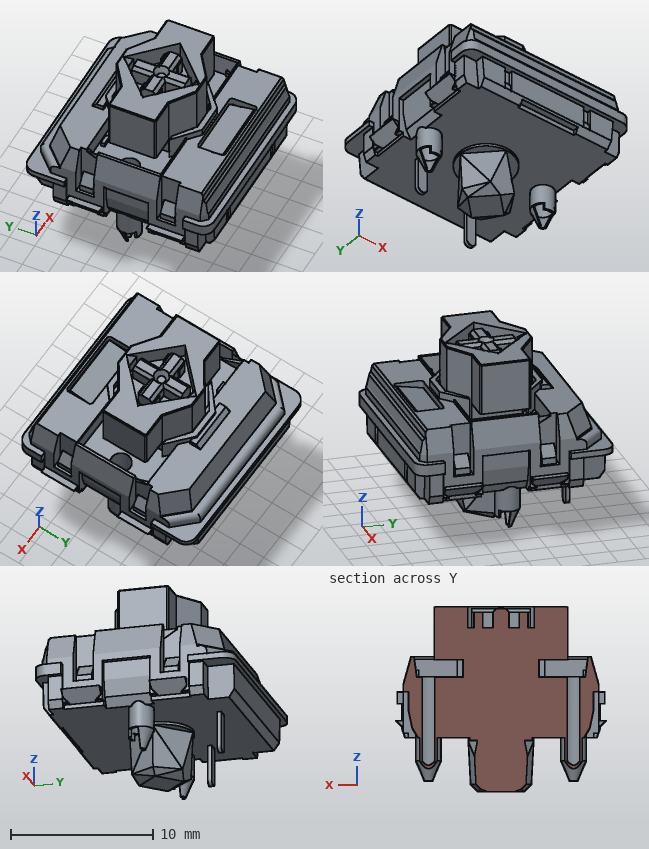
import cadquery as cq
import math


BASE_HALF_X = 6.96
BASE_FRONT_Y = -6.28
BASE_BACK_Y = 5.05
BASE_CHAMFER = 0.62
BASE_FOOT_INSET = 0.22
BASE_TOP_Z = 2.82
PLATE_HALF_X = 5.9
PLATE_FOOT_HALF_X = 5.66
PLATE_HALF_Y = 6.98
PLATE_FOOT_HALF_Y = 6.58
PLATE_BEND_Z = 0.58
GROOVE_X = 3.52
GROOVE_WIDTH = 0.6
GROOVE_DEPTH = 0.3
GROOVE_STEP_DEPTH = 0.15
GROOVE_FLOOR_Z = 0.58
GROOVE_STEP_Z = 1.2
NOTCH_X = (-2.17, 2.81)
NOTCH_HEIGHT = 0.41
NOTCH_Y = -6.38

FLANGE_HALF = 7.3
FLANGE_RADIUS = 0.89
FLANGE_Z = 2.38
FLANGE_FRONT_TOP = 3.22
FLANGE_BACK_TOP = BASE_TOP_Z

SIDE_HALF_X = 6.87
SIDE_FLAT_Y = (-5.25, 4.02)
RECESS_Y = (-2.34, 1.14)
RECESS_TOP_Z = 3.22
RECESS_WALL = [(5.84, 0), (6.25, 0.7), (6.5, 1.9), (6.5, RECESS_TOP_Z)]
CATCH_Y = ((1.24, 3.85), (-5.22, -2.44))
CATCH_REACH = 7.39
CATCH_ROOT = 6.5
CATCH_TOP = 1.2
CATCH_CORNER_Z = 0.74
CATCH_BOTTOM = 0.31
CATCH_CORNER = 0.41

COVER_HALF_X = 6.87
COVER_HALF_Y = 6.86
COVER_SHOULDER_Z = 3.75
COVER_TOP_Z = 5.51
COVER_TOP_HALF_X = 6.35
COVER_FRONT_CHAMFER = 0.45
COVER_BACK_CHAMFER = 1.58
COVER_SLOPES = [
    (-6.86, 3.75),
    (-6.78, 3.92),
    (-6.64, 4.69),
    (-6.49, 4.89),
    (-6.41, 5.32),
    (-6.27, COVER_TOP_Z),
    (5.59, COVER_TOP_Z),
    (5.81, 5.32),
    (6.13, 3.75),
]
BACK_STEP_Z = 3.62
BACK_STEP_ROUND = 0.35
RIM_TOP_Z = 5.7
RIM_Y = (-3.02, 2.88)
RIM_SIDE_X = 6.33

BASIN_TOP_HALF_X = 6.1
BASIN_FLOOR_HALF_X = 5.91
BASIN_Y = (-2.95, 2.88)
BASIN_FLOOR = 4.29
RAMP_INNER_X = 5.76
RAMP_SLOPE = 0.6
RAMP_Y = ((1.15, 2.88), (-2.95, -2.19))

SLOT_Y = ((1.9, 3.31), (-4.48, -3.02))
SLOT_X = 6.06
SLOT_BOTTOM = 1.9
NUB_TOP = 3.22
NUB_BOTTOM = 2.38
NUB_REACH = 0.59
NUB_MARGIN = 0.18

WINDOW_X = (-2.36, 2.97)
WINDOW_Y = (-6.07, -3.95)
WINDOW_DEPTH = 0.59
WINDOW_RADIUS = 0.22
PAD_GAP = 0.19
PAD_FRONT_Z = 5.38
PAD_BACK_Z = 5.03

STEM_TOP = 9.21
STEM_BOTTOM = 5.47
STEM_HALF_X = 4.7
STEM_HALF_Y = 1.86
STEM_BULGE_ROOT_X = 2.66
STEM_BULGE_FLAT_X = 0.81
STEM_BULGE_HALF_Y = 3.15
STEM_EDGE = 0.12
STEM_TOP_EDGE = 0.07
DIAMOND_HALF = 2.95
DIAMOND_DEPTH = 1.48
DIAMOND_RAMP = 0.52
DIAMOND_RAMP_DROP = 0.45
CROSS_LENGTH = 4.08
CROSS_WIDTH = 1.15
CROSS_DROP = 0.13
CROSS_CHAMFER = 0.25
LOBE_LENGTH = 0.64
LOBE_WIDTH = 1.39
LOBE_INSET = 0.13
DIMPLE_RADIUS = 0.56
DIMPLE_FLOOR_RADIUS = 0.3
DIMPLE_DEPTH = 0.45

GUIDE_END_Y = 2.15
GUIDE_OUTER_X = 3.09
GUIDE_INNER_X = 2.69
GUIDE_OUTER_BEND = (1.18, 3.78)
GUIDE_INNER_BEND = (1.06, 3.34)
GUIDE_TOP = 6.03
BUMP_X = (-2.04, 1.68)
BUMP_Y = (3.55, 4.43)
BUMP_SLOPE_Y = 4.08
BUMP_TOP = 5.84

POST_NECK = (4, 2.3, -0.2)
POST_WAIST = (6, 2.15, -3.28)
POST_END = (4, 1.63, -3.8)
POST_COLLAR_RADIUS = 2.3

PIN_X = 5.1
PIN_RADIUS = 0.9
PIN_WALL = 0.13
PIN_TAPER_Z = -1.63
PIN_NECK_Z = -2.17
PIN_NECK_RADIUS = 0.65
PIN_TIP_Z = -3.05
PIN_TIP_RADIUS = 0.3
PIN_LEAF_WIDTH = 0.89

CONTACT_WIDTH = 0.83
CONTACT_THICKNESS = 0.3
CONTACT_BOTTOM = -2.9
CONTACT_CENTRES = ((-3.78, 2.54), (2.6, 5.08))
CONTACT_END_TOP = 4.58


def block(x, y, z):
    """Box from (low, high) pairs along each axis."""
    size = (x[1] - x[0], y[1] - y[0], z[1] - z[0])
    return cq.Workplane("XY").box(*size, centered=False).translate((x[0], y[0], z[0]))


def both_sides(shape):
    """The shape together with its mirror image on the other X side."""
    return shape.union(shape.mirror("YZ"))


def mirrored(points):
    """The (x, y) points on the other X side, in reverse order."""
    return [(-x, y) for x, y in reversed(points)]


def prism_along_y(points, y):
    """Extrude an XZ outline over a (low, high) range in Y."""
    return cq.Workplane("XZ", origin=(0, y[1], 0)).polyline(points).close().extrude(y[1] - y[0])


def prism_along_x(points, half_length):
    """Extrude a YZ outline symmetrically about X = 0."""
    return cq.Workplane("YZ").polyline(points).close().extrude(half_length, both=True)


def base_housing():
    """Core with slanted feet, plus tapering front and back plates with grooves in the front."""
    foot_half_x = BASE_HALF_X - BASE_FOOT_INSET
    core = prism_along_y(
        [
            (-foot_half_x, 0),
            (foot_half_x, 0),
            (BASE_HALF_X, BASE_CHAMFER),
            (BASE_HALF_X, BASE_TOP_Z),
            (-BASE_HALF_X, BASE_TOP_Z),
            (-BASE_HALF_X, BASE_CHAMFER),
        ],
        (BASE_FRONT_Y, BASE_BACK_Y),
    )
    plates = prism_along_x(
        [
            (-PLATE_FOOT_HALF_Y, 0),
            (PLATE_FOOT_HALF_Y, 0),
            (PLATE_HALF_Y, PLATE_BEND_Z),
            (PLATE_HALF_Y, BASE_TOP_Z),
            (-PLATE_HALF_Y, BASE_TOP_Z),
            (-PLATE_HALF_Y, PLATE_BEND_Z),
        ],
        PLATE_HALF_X,
    )
    taper = prism_along_y(
        [
            (-PLATE_FOOT_HALF_X, 0),
            (PLATE_FOOT_HALF_X, 0),
            (PLATE_HALF_X, BASE_TOP_Z),
            (-PLATE_HALF_X, BASE_TOP_Z),
        ],
        (-PLATE_HALF_Y, PLATE_HALF_Y),
    )
    base = core.union(plates.intersect(taper))
    for x in (-GROOVE_X, GROOVE_X):
        groove = block(
            (x - GROOVE_WIDTH / 2, x + GROOVE_WIDTH / 2),
            (-PLATE_HALF_Y, -PLATE_HALF_Y + GROOVE_DEPTH),
            (GROOVE_FLOOR_Z, FLANGE_Z),
        )
        step = block(
            (x - GROOVE_WIDTH / 2, x + GROOVE_WIDTH / 2),
            (-PLATE_HALF_Y + GROOVE_STEP_DEPTH, -PLATE_HALF_Y + GROOVE_DEPTH),
            (GROOVE_FLOOR_Z, GROOVE_STEP_Z),
        )
        base = base.cut(groove.cut(step))
    return base.cut(block(NOTCH_X, (-PLATE_HALF_Y, NOTCH_Y), (0, NOTCH_HEIGHT)))


def flange():
    """Rounded flange around the front and back; the front part is thicker."""

    def slab(top):
        plate = cq.Workplane("XY", origin=(0, 0, FLANGE_Z)).rect(2 * FLANGE_HALF, 2 * FLANGE_HALF)
        return plate.extrude(top - FLANGE_Z).edges("|Z").fillet(FLANGE_RADIUS)

    wide = (-FLANGE_HALF, FLANGE_HALF)
    tall = (FLANGE_Z, FLANGE_FRONT_TOP)
    front = slab(FLANGE_FRONT_TOP).intersect(block(wide, (-FLANGE_HALF, SIDE_FLAT_Y[0]), tall))
    back = slab(FLANGE_BACK_TOP).intersect(block(wide, (SIDE_FLAT_Y[1], FLANGE_HALF), tall))
    return front.union(back)


def shape_sides(body):
    """Flatten the sides, then hollow them between the catches with a slanted undercut."""
    reach = CATCH_REACH
    flat = block((-reach, -SIDE_HALF_X), SIDE_FLAT_Y, (0, RECESS_TOP_Z))
    foot = block((-reach, -CATCH_ROOT), SIDE_FLAT_Y, (0, CATCH_BOTTOM))
    wall = [(-x, z) for x, z in RECESS_WALL]
    recess = prism_along_y([(-reach, 0)] + wall + [(-reach, RECESS_TOP_Z)], RECESS_Y)
    return body.cut(both_sides(flat.union(foot).union(recess)))


def tongue(y):
    """Block with cut lower corners that spans the whole part along X, one catch wide."""
    outline = [
        (y[0], CATCH_TOP),
        (y[0], CATCH_CORNER_Z),
        (y[0] + CATCH_CORNER, CATCH_BOTTOM),
        (y[1] - CATCH_CORNER, CATCH_BOTTOM),
        (y[1], CATCH_CORNER_Z),
        (y[1], CATCH_TOP),
    ]
    return prism_along_x(outline, CATCH_REACH)


def add_catches(body):
    """Hooks with a sloping underside, each undercut into the side wall."""
    root = (-CATCH_ROOT, CATCH_BOTTOM)
    tip = (-CATCH_REACH, CATCH_TOP)
    for y in CATCH_Y:
        hook = prism_along_y([(-CATCH_ROOT, CATCH_TOP), tip, root], y)
        below = prism_along_y([root, tip, (-CATCH_REACH, CATCH_BOTTOM)], y)
        body = body.cut(both_sides(below.intersect(tongue(y))))
        body = body.union(both_sides(hook.intersect(tongue(y))))
    return body


def cover_outline(half_x, back_y, z):
    """Cover outline in plan at height z: small front corners and large back corners."""
    front_y = -COVER_HALF_Y
    front = COVER_FRONT_CHAMFER
    back = COVER_BACK_CHAMFER
    right = [
        (half_x - front, front_y),
        (half_x, front_y + front),
        (half_x, back_y - back),
        (half_x - back, back_y),
    ]
    return cq.Workplane("XY", origin=(0, 0, z)).polyline(right + mirrored(right)).close()


def cover():
    """Stepped cover with sloping walls and a raised rim along each side."""
    skirt = cover_outline(COVER_HALF_X, COVER_HALF_Y, FLANGE_Z).extrude(BACK_STEP_Z - FLANGE_Z)
    back_edges = cq.selectors.BoxSelector(
        (-COVER_HALF_X, SIDE_FLAT_Y[1] + COVER_BACK_CHAMFER, FLANGE_Z),
        (COVER_HALF_X, FLANGE_HALF, COVER_TOP_Z),
    )
    skirt = skirt.faces(">Z").edges(back_edges).fillet(BACK_STEP_ROUND)
    back_y = COVER_SLOPES[-1][0]
    band = cover_outline(COVER_HALF_X, back_y, FLANGE_Z).extrude(COVER_SHOULDER_Z - FLANGE_Z)
    lower = cover_outline(COVER_HALF_X, back_y, COVER_SHOULDER_Z).val()
    upper = cover_outline(COVER_TOP_HALF_X, COVER_SLOPES[-3][0], COVER_TOP_Z).val()
    hood = cq.Workplane(cq.Solid.makeLoft([lower, upper], True))
    hood = hood.intersect(prism_along_x(COVER_SLOPES, COVER_HALF_X))
    rim = prism_along_y(
        [
            (-COVER_HALF_X, COVER_SHOULDER_Z),
            (COVER_HALF_X, COVER_SHOULDER_Z),
            (RIM_SIDE_X, RIM_TOP_Z),
            (-RIM_SIDE_X, RIM_TOP_Z),
        ],
        RIM_Y,
    )
    return skirt.union(band).union(hood).union(rim)


def basin():
    """Basin with sloping side walls and a ramp rising to the back in each corner."""
    hollow = prism_along_y(
        [
            (-BASIN_FLOOR_HALF_X, BASIN_FLOOR),
            (BASIN_FLOOR_HALF_X, BASIN_FLOOR),
            (BASIN_TOP_HALF_X, RIM_TOP_Z),
            (-BASIN_TOP_HALF_X, RIM_TOP_Z),
        ],
        BASIN_Y,
    )
    middle = block((-RAMP_INNER_X, RAMP_INNER_X), BASIN_Y, (BASIN_FLOOR, RIM_TOP_Z))
    for low, high in RAMP_Y:
        rise = RAMP_SLOPE * (high - low)
        outline = [(low, BASIN_FLOOR), (high, BASIN_FLOOR), (high, BASIN_FLOOR + rise)]
        ramp = prism_along_x(outline, BASIN_TOP_HALF_X)
        hollow = hollow.cut(ramp.cut(middle))
    return hollow


def clip_slots():
    """Open slots in the side walls, less the nub left standing in each."""

    def slot(y):
        opening = block((-CATCH_REACH, -SLOT_X), y, (SLOT_BOTTOM, RIM_TOP_Z))
        nub = prism_along_y(
            [
                (-SLOT_X, SLOT_BOTTOM),
                (-SLOT_X - NUB_REACH, SLOT_BOTTOM),
                (-SLOT_X - NUB_REACH, NUB_BOTTOM),
                (-SLOT_X, NUB_TOP),
            ],
            (y[0] + NUB_MARGIN, y[1] - NUB_MARGIN),
        )
        return opening.cut(nub)

    return both_sides(slot(SLOT_Y[0]).union(slot(SLOT_Y[1])))


def window():
    """Pocket with rounded corners around a sloping pad."""
    floor_z = COVER_TOP_Z - WINDOW_DEPTH
    pocket = block(WINDOW_X, WINDOW_Y, (floor_z, COVER_TOP_Z)).edges("|Z").fillet(WINDOW_RADIUS)
    pad_x = (WINDOW_X[0] + PAD_GAP, WINDOW_X[1] - PAD_GAP)
    front_y = WINDOW_Y[0] + PAD_GAP
    back_y = WINDOW_Y[1]
    slope = prism_along_x(
        [(front_y, floor_z), (front_y, PAD_FRONT_Z), (back_y, PAD_BACK_Z), (back_y, floor_z)],
        BASIN_TOP_HALF_X,
    )
    return pocket.cut(slope.intersect(block(pad_x, WINDOW_Y, (floor_z, COVER_TOP_Z))))


def stem():
    """Bar with a bulge at the middle that reaches down to the basin floor."""
    height = STEM_TOP - STEM_BOTTOM
    bar = cq.Workplane("XY", origin=(0, 0, STEM_BOTTOM)).rect(2 * STEM_HALF_X, 2 * STEM_HALF_Y)
    bar = bar.extrude(height).edges("|Z").chamfer(STEM_EDGE)
    back = [
        (STEM_BULGE_ROOT_X, STEM_HALF_Y),
        (STEM_BULGE_FLAT_X, STEM_BULGE_HALF_Y),
        (-STEM_BULGE_FLAT_X, STEM_BULGE_HALF_Y),
        (-STEM_BULGE_ROOT_X, STEM_HALF_Y),
    ]
    front = [(-x, -y) for x, y in back]
    bulge = cq.Workplane("XY", origin=(0, 0, BASIN_FLOOR)).polyline(back + front).close()
    body = bar.union(bulge.extrude(STEM_TOP - BASIN_FLOOR))
    body = body.faces(">Z").edges().chamfer(STEM_TOP_EDGE)
    return body.cut(diamond_pocket()).union(cross())


def diamond_pocket():
    """Diamond pocket with a ramp at the top of its front and back corners."""
    floor_z = STEM_TOP - DIAMOND_DEPTH
    ramp_end_z = STEM_TOP - DIAMOND_RAMP_DROP
    half = DIAMOND_HALF
    outline = cq.Workplane("XY", origin=(0, 0, floor_z))
    outline = outline.polyline([(half, 0), (0, half), (-half, 0), (0, -half)]).close()
    ramps = prism_along_x(
        [
            (-half, STEM_TOP),
            (DIAMOND_RAMP - half, ramp_end_z),
            (DIAMOND_RAMP - half, floor_z),
            (half - DIAMOND_RAMP, floor_z),
            (half - DIAMOND_RAMP, ramp_end_z),
            (half, STEM_TOP),
        ],
        half,
    )
    return outline.extrude(DIAMOND_DEPTH).intersect(ramps)


def cross():
    """Keycap cross with bevelled arms, side lobes on the X arm and a conical dimple."""
    floor_z = STEM_TOP - DIAMOND_DEPTH
    top_z = STEM_TOP - CROSS_DROP
    height = top_z - floor_z
    plane = cq.Workplane("XY", origin=(0, 0, floor_z))
    arm = plane.rect(CROSS_LENGTH, CROSS_WIDTH).extrude(height)
    arm = arm.faces(">Z").edges("|X").chamfer(CROSS_CHAMFER)
    lobe_x = (CROSS_LENGTH - LOBE_LENGTH) / 2 - LOBE_INSET
    lobes = plane.pushPoints([(-lobe_x, 0), (lobe_x, 0)]).rect(LOBE_LENGTH, LOBE_WIDTH)
    lobes = lobes.extrude(height - CROSS_CHAMFER)
    dimple = cq.Solid.makeCone(
        DIMPLE_FLOOR_RADIUS, DIMPLE_RADIUS, DIMPLE_DEPTH, cq.Vector(0, 0, top_z - DIMPLE_DEPTH)
    )
    cross_arm = arm.rotate((0, 0, 0), (0, 0, 1), 90)
    return arm.union(cross_arm).union(lobes).cut(cq.Workplane(dimple))


def guide_walls():
    """Bent walls that follow the bulge of the stem."""
    outer = [(GUIDE_OUTER_X, GUIDE_END_Y), GUIDE_OUTER_BEND]
    inner = [GUIDE_INNER_BEND, (GUIDE_INNER_X, GUIDE_END_Y)]
    outline = outer + mirrored(outer) + mirrored(inner) + inner
    back = cq.Workplane("XY", origin=(0, 0, BASIN_FLOOR)).polyline(outline).close()
    back = back.extrude(GUIDE_TOP - BASIN_FLOOR)
    return back.union(back.mirror("XZ"))


def bump():
    """Block with a sloping back edge, behind the rear guide wall."""
    outline = [
        (BUMP_Y[0], BASIN_FLOOR),
        (BUMP_Y[1], BASIN_FLOOR),
        (BUMP_Y[1], COVER_TOP_Z),
        (BUMP_SLOPE_Y, BUMP_TOP),
        (BUMP_Y[0], BUMP_TOP),
    ]
    return prism_along_x(outline, FLANGE_HALF).intersect(block(BUMP_X, BUMP_Y, (BASIN_FLOOR, BUMP_TOP)))


def ring_corners(ring):
    """Corners of a regular polygon ring, each as (turn, point), starting and ending on +X."""
    count, radius, z = ring
    corners = []
    for i in range(count + 1):
        turn = i / count
        angle = 2 * math.pi * turn
        corners.append((turn, cq.Vector(radius * math.cos(angle), radius * math.sin(angle), z)))
    return corners


def faceted_frustum(coarse_ring, fine_ring):
    """Solid between two polygon rings, joined by triangles in order of turn around Z.

    Where corners of both rings share a turn, the ring with fewer corners advances first.
    """
    coarse = ring_corners(coarse_ring)
    fine = ring_corners(fine_ring)
    outlines = [[point for _, point in ring] for ring in (coarse, fine)]
    steps = [(turn, 0, point) for turn, point in coarse[1:]]
    steps += [(turn, 1, point) for turn, point in fine[1:]]
    current = [coarse[0][1], fine[0][1]]
    for _, ring_index, point in sorted(steps, key=lambda step: step[:2]):
        outlines.append(current + [point, current[0]])
        current[ring_index] = point
    faces = [cq.Face.makeFromWires(cq.Wire.makePolygon(outline)) for outline in outlines]
    return cq.Workplane(cq.Solid.makeSolid(cq.Shell.makeShell(faces)))


def centre_post():
    """Round collar, faceted shank and blunt end."""
    collar = cq.Workplane("XY").circle(POST_COLLAR_RADIUS).extrude(POST_NECK[2])
    shank = faceted_frustum(POST_NECK, POST_WAIST)
    return collar.union(shank).union(faceted_frustum(POST_END, POST_WAIST))


def pin_bores():
    """Round holes from the basin floor down into the hollow pins."""
    centres = [(-PIN_X, 0), (PIN_X, 0)]
    bores = cq.Workplane("XY").pushPoints(centres).circle(PIN_RADIUS - PIN_WALL)
    return bores.extrude(BASIN_FLOOR)


def side_pins():
    """Thin-walled pins below the housing."""

    def sweep(outer):
        """Thin round wall whose outer surface follows the (radius, Z) points."""
        inner = [(radius - PIN_WALL, z) for radius, z in reversed(outer)]
        return cq.Workplane("XZ").polyline(outer + inner).close().revolve(360, (0, 0), (0, 1))

    radius = PIN_RADIUS
    high = (PIN_TIP_Z, BASE_CHAMFER)
    start = (radius, BASE_CHAMFER)
    neck = (PIN_NECK_RADIUS, PIN_NECK_Z)
    tip = (PIN_TIP_RADIUS, PIN_TIP_Z)
    back = sweep([start, (radius, PIN_TAPER_Z), neck, tip])
    back = back.intersect(block((-radius, radius), (0, radius), high))
    front = sweep([start, (radius, PIN_NECK_Z)])
    tube = front.intersect(block((-radius, radius), (-radius, 0), (PIN_TAPER_Z, BASE_CHAMFER)))
    half_leaf = PIN_LEAF_WIDTH / 2
    leaf = front.intersect(block((-half_leaf, half_leaf), (-radius, 0), high))
    pin = back.union(tube).union(leaf)
    return pin.translate((-PIN_X, 0, 0)).union(pin.translate((PIN_X, 0, 0)))


def contact_legs():
    """Flat legs with rounded ends."""
    radius = CONTACT_WIDTH / 2
    legs = cq.Workplane("XY")
    for x, y in CONTACT_CENTRES:
        leg = (
            cq.Workplane("XZ", origin=(x, y + CONTACT_THICKNESS / 2, 0))
            .moveTo(-radius, BASE_CHAMFER)
            .lineTo(-radius, CONTACT_BOTTOM + radius)
            .threePointArc((0, CONTACT_BOTTOM), (radius, CONTACT_BOTTOM + radius))
            .lineTo(radius, BASE_CHAMFER)
            .close()
            .extrude(CONTACT_THICKNESS)
        )
        legs = legs.union(leg)
    return legs


def contact_end():
    """Upper end of the first contact, standing in the basin."""
    x, y = CONTACT_CENTRES[0]
    half_width = CONTACT_WIDTH / 2
    half_thickness = CONTACT_THICKNESS / 2
    return block(
        (x - half_width, x + half_width),
        (y - half_thickness, y + half_thickness),
        (BASIN_FLOOR, CONTACT_END_TOP),
    )


housing = shape_sides(base_housing().union(flange()).union(cover()))
housing = add_catches(housing).cut(basin()).cut(clip_slots()).cut(window()).cut(pin_bores())
result = housing.union(guide_walls()).union(bump()).union(stem()).union(contact_end())
result = result.union(centre_post()).union(side_pins()).union(contact_legs())